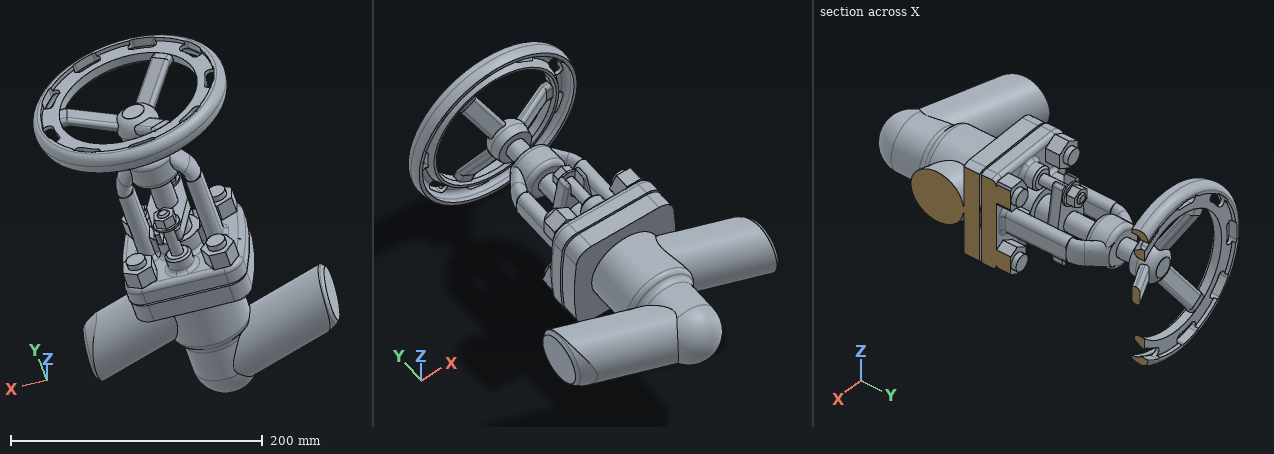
import cadquery as cq
import math

total_height = 299.0
total_width = 200.0

dome_radius = 54.0 / 2
neck_radius = 66.0 / 2
neck_start = 66.7
shoulder_end = 55.5
shoulder_round = 6.0

pipe_radius = 25.5
pipe_reach = total_width / 2
pipe_tilt = math.radians(19)
pipe_end_height = 65.0
pipe_land_radius = 22.0
pipe_land_bevel = 2.7
pipe_bevel_angle = math.radians(31)
pipe_bevel_length = 30.0
pipe_length = 125.5

flange_bottom = 112.0
flange_top = 128.3
bonnet_bottom = 129.8
bonnet_top = 145.3
flange_half_depth = 47.0
flange_half_width = 50.2
bonnet_half_width = 51.0
flange_bow = 4.0
flange_corner = 15.0
bonnet_edge_round = 4.8
gasket_radius = 41.3

stud_spacing = 66.5
stud_radius = 7.8
stud_top = 164.7
nut_flats = 24.0
nut_top = 159.7

yoke_offset = 28.0
yoke_thickness = 13.5
yoke_depth = 24.2
yoke_side_half_depth = 6.5
yoke_side_bow = 0.15
yoke_apex = 216.5
yoke_lean = math.radians(36)
yoke_bend_radius = 18.5
yoke_arm_length = 30.0
yoke_hub_radius = 20.3
yoke_hub_bottom = 216.2
yoke_hub_top = 241.0
yoke_hub_round = 4.8

box_radius = 18.8
box_top = 161.0
rib_thickness = 15.0
foot_round = 3.5
rib_top = 164.7
gland_radius = 12.5
gland_bolt_offset = 57.7 / 2
gland_bolt_radius = 5.0
gland_bolt_top = 199.7
gland_bolt_chamfer = 1.5
gland_boss_radius = 10.8
gland_boss_chamfer = 1.8
gland_boss_top = 159.0
gland_plate_bottom = 176.0
gland_plate_top = 187.8
gland_plate_half_width = 17.0
gland_plate_end_half_width = 10.2
gland_plate_corner = 3.0
gland_plate_half_depth = 40.0
gland_plate_round = 2.7
gland_slot_width = 12.5
washer_radius = 10.8
washer_top = 189.5
gland_nut_flats = 15.8
gland_nut_top = 198.0

stem_radius = 18.2 / 2
wheel_hub_bottom = 259.2
wheel_hub_waist = 267.5
wheel_hub_top = 281.7
wheel_hub_bottom_radius = 16.0
wheel_hub_waist_radius = 18.0
wheel_hub_top_radius = 7.5
wheel_hub_dome_radius = 17.3
wheel_hub_dome_height = 274.2
rim_radius = 160.0 / 2
rim_bottom = 282.3
rim_bottom_radius = 78.0
rim_shoulder = 290.5
rim_bulge_radius = 79.5
rim_crown_outer_radius = 74.5
rim_crown_inner_radius = 71.5
channel_outer_radius = 74.8
channel_floor = 291.8
channel_round = 5.5
channel_floor_inner_radius = 65.2
web_top = 295.5
inner_ring_radius = 61.5
inner_ring_bottom = 284.5
inner_ring_tip_radius = 59.2
rim_bore_start = 287.5
rim_bore_radius = 57.0
slot_count = 9
slot_radius = 68.2
slot_width = 8.5
slot_span = 20.0
spoke_count = 3
spoke_half_width = 9.0
spoke_thickness = 8.5
spoke_hub_height = 268.0
spoke_slope = math.radians(26)
spoke_hub_reach = 12.0
spoke_bend_radius = 50.8
spoke_round = 3.3


def rod(radius, bottom, top, x=0.0, z=0.0):
    """Round bar parallel to Y."""
    return cq.Workplane("XZ", origin=(x, bottom, z)).circle(radius).extrude(bottom - top)


def hex_nut(flats, bottom, top, x, z, corner_along_z):
    """Hexagon prism parallel to Y, a corner pointing along Z or along X."""
    nut = cq.Workplane("XZ").polygon(6, flats / math.cos(math.pi / 6)).extrude(bottom - top)
    if corner_along_z:
        nut = nut.rotate((0, 0, 0), (0, 1, 0), 90)
    return nut.translate((x, bottom, z))


def turned(profile):
    """Solid of revolution about the Y axis from a closed (radius, height) profile."""
    return profile.close().revolve(360, (0, 0, 0), (0, 1, 0))


def both_sides(half):
    """The half together with its mirror image across X = 0."""
    return half.union(half.mirror("YZ"))


def make_body():
    """Body with a domed bottom; two tangent arcs form the shoulder between its diameters."""
    diagonal = math.sqrt(0.5)
    step_in = neck_radius - dome_radius
    step_up = neck_start - shoulder_end
    turn = 2 * math.atan(step_in / step_up)
    join_radius = neck_radius - shoulder_round * (1 - math.cos(turn))
    join_height = neck_start - shoulder_round * math.sin(turn)
    hollow_round = step_up / math.sin(turn) - shoulder_round
    hollow_mid = (
        dome_radius + hollow_round * (1 - math.cos(turn / 2)),
        shoulder_end + hollow_round * math.sin(turn / 2),
    )
    crest_mid = (
        neck_radius - shoulder_round * (1 - math.cos(turn / 2)),
        neck_start - shoulder_round * math.sin(turn / 2),
    )
    profile = (
        cq.Workplane("XY")
        .moveTo(0, 0)
        .threePointArc((dome_radius * diagonal, dome_radius * (1 - diagonal)), (dome_radius, dome_radius))
        .lineTo(dome_radius, shoulder_end)
        .threePointArc(hollow_mid, (join_radius, join_height))
        .threePointArc(crest_mid, (neck_radius, neck_start))
        .lineTo(neck_radius, flange_bottom)
        .lineTo(0, flange_bottom)
    )
    return turned(profile)


def make_pipe(side):
    """Inclined pipe on the +X (1) or -X (-1) side; its bevelled end is turned about a line along X."""
    start_height = pipe_end_height + side * pipe_reach * math.tan(pipe_tilt)
    axis = cq.Vector(side * math.cos(pipe_tilt), -side * math.sin(pipe_tilt), 0)
    pipe = cq.Solid.makeCylinder(pipe_radius, pipe_length, cq.Vector(0, start_height, 0), axis)
    land_outer = pipe_land_radius + pipe_land_bevel
    cone_outer = land_outer + pipe_bevel_length * math.tan(pipe_bevel_angle)
    cone_start = pipe_reach - pipe_land_bevel - pipe_bevel_length
    envelope = (
        cq.Workplane("XY")
        .moveTo(-pipe_radius, 0)
        .lineTo(pipe_reach, 0)
        .lineTo(pipe_reach, pipe_land_radius)
        .lineTo(pipe_reach - pipe_land_bevel, land_outer)
        .lineTo(cone_start, cone_outer)
        .lineTo(cone_start, pipe_length)
        .lineTo(-pipe_radius, pipe_length)
        .close()
        .revolve(360, (0, 0, 0), (1, 0, 0))
    )
    if side < 0:
        envelope = envelope.mirror("YZ")
    return cq.Workplane(pipe).intersect(envelope.translate((0, pipe_end_height, 0)))


def flange_plate(half_width, bottom, top):
    """Rounded plate with bowed side edges."""
    corner_x = half_width - flange_bow
    d = flange_half_depth
    return (
        cq.Workplane("XZ", origin=(0, bottom, 0))
        .moveTo(-corner_x, -d)
        .lineTo(corner_x, -d)
        .threePointArc((half_width, 0), (corner_x, d))
        .lineTo(-corner_x, d)
        .threePointArc((-half_width, 0), (-corner_x, -d))
        .close()
        .extrude(bottom - top)
        .edges("|Y")
        .fillet(flange_corner)
    )


def make_body_flange():
    gasket = rod(gasket_radius, flange_top, bonnet_bottom)
    return flange_plate(flange_half_width, flange_bottom, flange_top).union(gasket)


def make_flange_bolting():
    bolting = cq.Workplane("XY")
    for sx in (-1, 1):
        for sz in (-1, 1):
            x = sx * stud_spacing / 2
            z = sz * stud_spacing / 2
            bolting = bolting.add(rod(stud_radius, bonnet_top, stud_top, x, z))
            bolting = bolting.add(hex_nut(nut_flats, bonnet_top, nut_top, x, z, sx != sz))
    return bolting.combine()


def yoke_section():
    """Long rounded outline with slightly bowed sides."""
    side = yoke_thickness / 2
    corner = side - yoke_side_bow
    flat = yoke_side_half_depth
    end = yoke_depth / 2
    return (
        cq.Workplane("XZ", origin=(yoke_offset, bonnet_top, 0))
        .moveTo(corner, -flat)
        .threePointArc((side, 0), (corner, flat))
        .threePointArc((0, end), (-corner, flat))
        .threePointArc((-side, 0), (-corner, -flat))
        .threePointArc((0, -end), (corner, -flat))
        .close()
    )


def make_yoke_leg():
    """Upright with an oval arm bending inward to the yoke hub, on the +X side."""
    tangent = yoke_bend_radius * math.tan(yoke_lean / 2)
    bend_start = yoke_apex - tangent
    bend_center_x = yoke_offset - yoke_bend_radius
    bend_mid = (
        bend_center_x + yoke_bend_radius * math.cos(yoke_lean / 2),
        bend_start + yoke_bend_radius * math.sin(yoke_lean / 2),
    )
    bend_end = (yoke_offset - tangent * math.sin(yoke_lean), yoke_apex + tangent * math.cos(yoke_lean))
    arm_end = (
        yoke_offset - yoke_arm_length * math.sin(yoke_lean),
        yoke_apex + yoke_arm_length * math.cos(yoke_lean),
    )
    path = (
        cq.Workplane("XY")
        .moveTo(yoke_offset, bend_start)
        .threePointArc(bend_mid, bend_end)
        .lineTo(*arm_end)
    )
    arm = (
        cq.Workplane("XZ", origin=(yoke_offset, bend_start, 0))
        .ellipse(yoke_thickness / 2, yoke_depth / 2)
        .sweep(path)
        .intersect(rod(yoke_offset + yoke_thickness, bend_start, yoke_hub_top))
    )
    return yoke_section().extrude(bonnet_top - bend_start).union(arm)


def make_yoke_hub():
    hub = rod(yoke_hub_radius, yoke_hub_bottom, yoke_hub_top)
    return hub.edges().fillet(yoke_hub_round)


def make_rib():
    """Web from the stuffing box to the yoke upright, on the +X side."""
    return (
        cq.Workplane("XY")
        .moveTo(0, bonnet_top)
        .lineTo(yoke_offset, bonnet_top)
        .lineTo(yoke_offset, rib_top)
        .lineTo(yoke_offset - yoke_thickness / 2, rib_top)
        .lineTo(box_radius, box_top)
        .lineTo(0, box_top)
        .close()
        .extrude(rib_thickness / 2, both=True)
    )


def make_bonnet():
    """Bonnet flange with stuffing box, ribs, bolt bosses and yoke uprights on rounded feet."""
    flange = flange_plate(bonnet_half_width, bonnet_bottom, bonnet_top)
    bonnet = (
        flange.faces(">Y")
        .edges()
        .fillet(bonnet_edge_round)
        .union(rod(box_radius, bonnet_top, box_top))
        .union(both_sides(make_rib()))
        .union(both_sides(make_yoke_leg()))
    )
    for side in (-1, 1):
        boss = rod(gland_boss_radius, bonnet_top, gland_boss_top, 0, side * gland_bolt_offset)
        bonnet = bonnet.union(boss.faces(">Y").edges().chamfer(gland_boss_chamfer))
    just_below = (-bonnet_half_width, bonnet_top - foot_round / 2, -flange_half_depth)
    just_above = (bonnet_half_width, bonnet_top + foot_round / 2, flange_half_depth)
    top_face = bonnet.faces(cq.selectors.BoxSelector(just_below, just_above)).faces("|Y")
    foot_outline = top_face.val().innerWires()[0]
    return bonnet.newObject(foot_outline.Edges()).fillet(foot_round)


def make_gland_plate():
    """Lozenge plate, narrow at both ends, with an open bolt slot in each end."""
    middle = gland_plate_half_width
    end = gland_plate_end_half_width
    depth = gland_plate_half_depth
    outline = [(-end, -depth), (end, -depth), (middle, 0), (end, depth), (-end, depth), (-middle, 0)]
    plate = (
        cq.Workplane("XZ", origin=(0, gland_plate_bottom, 0))
        .polyline(outline)
        .close()
        .extrude(gland_plate_bottom - gland_plate_top)
        .edges("|Y")
        .fillet(gland_plate_corner)
        .faces("<Y")
        .edges()
        .fillet(gland_plate_round)
    )
    slot_length = 2 * (gland_plate_half_depth - gland_bolt_offset) + gland_slot_width
    slots = (
        cq.Workplane("XZ", origin=(0, gland_plate_top, 0))
        .pushPoints([(0, gland_plate_half_depth), (0, -gland_plate_half_depth)])
        .slot2D(slot_length, gland_slot_width, 90)
        .extrude(gland_plate_top - gland_plate_bottom)
    )
    return plate.cut(slots)


def make_gland():
    gland = make_gland_plate().union(rod(gland_radius, box_top, gland_plate_top))
    for side in (-1, 1):
        z = side * gland_bolt_offset
        bolt = rod(gland_bolt_radius, bonnet_top, gland_bolt_top, 0, z)
        bolt = bolt.faces(">Y").edges().chamfer(gland_bolt_chamfer)
        gland = (
            gland.union(bolt)
            .union(rod(washer_radius, gland_plate_top, washer_top, 0, z))
            .union(hex_nut(gland_nut_flats, washer_top, gland_nut_top, 0, z, True))
        )
    return gland


def make_rim():
    """Rim with an open channel below, whose slotted floor joins a thin inner ring."""
    diagonal = math.sqrt(0.5)
    crown_mid = (
        rim_crown_outer_radius + (rim_radius - rim_crown_outer_radius) * diagonal,
        rim_shoulder + (total_height - rim_shoulder) * diagonal,
    )
    channel_round_mid = (
        channel_outer_radius - channel_round * (1 - diagonal),
        channel_floor - channel_round * (1 - diagonal),
    )
    bulge_mid = (rim_bulge_radius, (rim_bottom + rim_shoulder) / 2)
    profile = (
        cq.Workplane("XY")
        .moveTo(rim_bore_radius, rim_bore_start)
        .lineTo(inner_ring_tip_radius, inner_ring_bottom)
        .lineTo(inner_ring_radius, inner_ring_bottom)
        .lineTo(channel_floor_inner_radius, channel_floor)
        .lineTo(channel_outer_radius - channel_round, channel_floor)
        .threePointArc(channel_round_mid, (channel_outer_radius, channel_floor - channel_round))
        .lineTo(channel_outer_radius, rim_bottom)
        .lineTo(rim_bottom_radius, rim_bottom)
        .threePointArc(bulge_mid, (rim_radius, rim_shoulder))
        .threePointArc(crown_mid, (rim_crown_outer_radius, total_height))
        .lineTo(rim_crown_inner_radius, total_height)
        .lineTo(rim_crown_inner_radius, web_top)
        .lineTo(rim_bore_radius, web_top)
    )
    rim = turned(profile)
    for i in range(slot_count):
        rim = rim.cut(rim_slot(360 / slot_count * (i + 0.5)))
    return rim


def rim_slot(angle):
    """Curved slot cutter with round ends, centred at the given angle from +X toward +Z."""
    end_angle = math.degrees(slot_width / 2 / slot_radius)
    half = math.radians(slot_span / 2 - end_angle)
    inner = slot_radius - slot_width / 2
    outer = slot_radius + slot_width / 2
    tip = math.radians(slot_span / 2)

    def polar(radius, a):
        return (radius * math.cos(a), radius * math.sin(a))

    return (
        cq.Workplane("XZ", origin=(0, rim_bottom, 0))
        .moveTo(*polar(outer, -half))
        .threePointArc(polar(outer, 0), polar(outer, half))
        .threePointArc(polar(slot_radius, tip), polar(inner, half))
        .threePointArc(polar(inner, 0), polar(inner, -half))
        .threePointArc(polar(slot_radius, -tip), polar(outer, -half))
        .close()
        .extrude(rim_bottom - total_height)
        .rotate((0, 0, 0), (0, 1, 0), -angle)
    )


def make_wheel_hub():
    profile = (
        cq.Workplane("XY")
        .moveTo(0, wheel_hub_bottom)
        .lineTo(wheel_hub_bottom_radius, wheel_hub_bottom)
        .lineTo(wheel_hub_waist_radius, wheel_hub_waist)
        .threePointArc((wheel_hub_dome_radius, wheel_hub_dome_height), (wheel_hub_top_radius, wheel_hub_top))
        .lineTo(0, wheel_hub_top)
    )
    return turned(profile)


def make_spoke(angle):
    """Flat arm rising from the hub and levelling out at the inner ring of the rim."""
    bend_height = spoke_hub_height + (spoke_bend_radius - spoke_hub_reach) * math.tan(spoke_slope)
    rise = spoke_thickness / math.cos(spoke_slope)
    return (
        cq.Workplane("XY")
        .moveTo(spoke_hub_reach, spoke_hub_height)
        .lineTo(spoke_bend_radius, bend_height)
        .lineTo(inner_ring_tip_radius, bend_height)
        .lineTo(inner_ring_tip_radius, bend_height + spoke_thickness)
        .lineTo(spoke_bend_radius, bend_height + spoke_thickness)
        .lineTo(spoke_hub_reach, spoke_hub_height + rise)
        .close()
        .extrude(spoke_half_width, both=True)
        .edges("(not |Z) and (not |Y)")
        .fillet(spoke_round)
        .rotate((0, 0, 0), (0, 1, 0), angle)
    )


def make_handwheel():
    wheel = make_rim().union(make_wheel_hub())
    for i in range(spoke_count):
        wheel = wheel.union(make_spoke(360 / spoke_count * i))
    return wheel


result = (
    make_body()
    .union(make_pipe(1))
    .union(make_pipe(-1))
    .union(make_body_flange())
    .union(make_flange_bolting())
    .union(make_bonnet())
    .union(make_yoke_hub())
    .union(make_gland())
    .union(rod(stem_radius, box_top, wheel_hub_top))
    .union(make_handwheel())
)